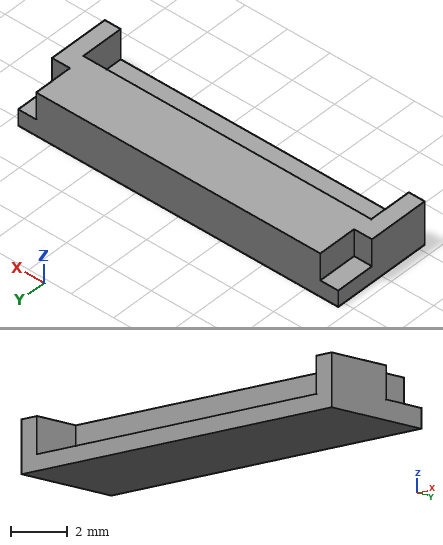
import cadquery as cq

length = 15.1
depth = 4.6
height = 2.0

end_wall = 0.75
pocket_depth = 2.0
pocket_floor = 0.6

step_length = 0.85
step_depth = 1.8
step_floor = 0.75


def corner_box(size_x, size_y, size_z, x, y, z):
    """Box whose lowest corner lies at (x, y, z)."""
    return cq.Workplane("XY").box(size_x, size_y, size_z, centered=False).translate((x, y, z))


result = corner_box(length, depth, height, 0, 0, 0)

pocket_length = length - 2 * end_wall
result = result.cut(
    corner_box(pocket_length, pocket_depth, height - pocket_floor, end_wall, 0, pocket_floor)
)

for step_x in (0, length - step_length):
    result = result.cut(
        corner_box(
            step_length, step_depth, height - step_floor,
            step_x, depth - step_depth, step_floor,
        )
    )